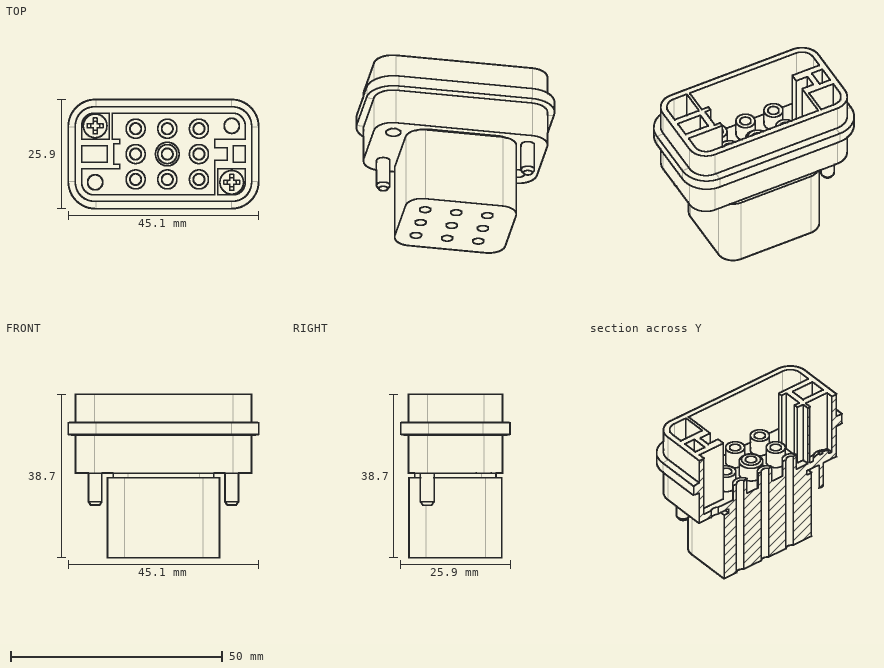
import cadquery as cq
import math

BODY_TOP = 19.0
SHELL_BOTTOM = 20.05
FLOOR_TOP = 22.2
FLANGE_MID = 30.6
TOTAL_HEIGHT = 38.7

BODY = (26.55, 22.0, 3.95)
NECK = (23.85, 19.25, 3.5)
SHELL = (41.65, 22.32, 4.45)
FLANGE = (45.1, 25.9, 6.5)
FLANGE_EDGE_HEIGHT = 2.75
FLANGE_RISE = 0.16

WALL = 1.5
OVERLAP = WALL / 2
CAVITY = (SHELL[0] - 2 * WALL, SHELL[1] - 2 * WALL, SHELL[2] - WALL)
CAVITY_END = CAVITY[0] / 2
CAVITY_SIDE = CAVITY[1] / 2
BLOCK_HALF_WIDTH = 3.5
POCKET_HALF_WIDTH = 2.0
PARTITION_END = 12.1
RIB_THICKNESS = 0.75
LEFT_BLOCK_END = 11.75
LEFT_POCKET_END = 13.3
HOOK_END = 10.35
HOOK_THICKNESS = 1.1
RIGHT_POCKET_END = 16.5
NOTCH_END = 15.1
NOTCH_HALF_WIDTH = 1.5

COLUMN_PITCH = 7.5
ROW_PITCH = 6.0
GRID_CENTER_X = 0.9
SLEEVE_TOP = 26.47
SLEEVE_DIAMETER = 4.5
CONTACT_HOLE_DIAMETER = 2.6
EARTH_SLEEVE_DIAMETER = 5.6

FIXING_X = 16.15
FIXING_Y = 6.67
FIXING_HOLE_DIAMETER = 3.5
SHANK_DIAMETER = 3.2
SHANK_TIP_Z = 12.45
SHANK_TIP_HEIGHT = 0.85
SHANK_TIP_INSET = 0.55
HEAD_DIAMETER = 5.6
HEAD_RIM_HEIGHT = 0.9
HEAD_DOME_HEIGHT = 0.75
RECESS_ARM_WIDTH = 0.95
RECESS_TOP_RADIUS = 2.2
RECESS_STEP_RADIUS = 1.1
RECESS_STEP_DEPTH = 1.17
RECESS_DEPTH = 1.55


def rounded_block(outline, bottom, top):
    """Upright block with rounded vertical edges."""
    length, width, radius = outline
    block = cq.Workplane("XY", origin=(0, 0, bottom)).rect(length, width).extrude(top - bottom)
    return block.edges("|Z").fillet(radius)


def upright_box(x_start, x_end, y_start, y_end):
    """Box between the given limits, reaching from the cavity floor to the rim."""
    size = (abs(x_end - x_start), abs(y_end - y_start), TOTAL_HEIGHT - FLOOR_TOP)
    middle = ((x_start + x_end) / 2, (y_start + y_end) / 2, (FLOOR_TOP + TOTAL_HEIGHT) / 2)
    return cq.Workplane("XY").box(*size).translate(middle)


def cylinder(x, y, diameter, bottom, top):
    """Upright cylinder."""
    return cq.Workplane("XY", origin=(x, y, bottom)).circle(diameter / 2).extrude(top - bottom)


def make_flange():
    """Collar with crowned top and bottom faces, swept around the shell."""
    side_shell = SHELL[1] / 2
    side_inner = side_shell - OVERLAP
    side_crown = (SHELL[1] + FLANGE[1]) / 4
    side_outer = FLANGE[1] / 2
    edge_z = FLANGE_EDGE_HEIGHT / 2
    crown_z = edge_z + FLANGE_RISE
    path = rounded_block(FLANGE, FLANGE_MID, FLANGE_MID + crown_z).faces("<Z").wires()
    profile = (
        cq.Workplane("YZ", origin=(0, 0, FLANGE_MID))
        .moveTo(side_inner, -crown_z)
        .lineTo(side_shell, -crown_z)
        .threePointArc((side_crown, -crown_z), (side_outer, -edge_z))
        .lineTo(side_outer, edge_z)
        .threePointArc((side_crown, crown_z), (side_shell, crown_z))
        .lineTo(side_inner, crown_z)
        .close()
    )
    return profile.sweep(path)


def make_left_partitions():
    """Pocketed block with two hooks, and the rib that closes off the screw corner."""
    block = upright_box(-CAVITY_END - OVERLAP, -LEFT_BLOCK_END, -BLOCK_HALF_WIDTH, BLOCK_HALF_WIDTH)
    for side in (-1, 1):
        hook_inner = side * (BLOCK_HALF_WIDTH - HOOK_THICKNESS)
        hook_outer = side * BLOCK_HALF_WIDTH
        block = block.union(upright_box(-LEFT_BLOCK_END - OVERLAP, -HOOK_END, hook_inner, hook_outer))
    rib_end = -PARTITION_END - RIB_THICKNESS
    rib = upright_box(rib_end, -PARTITION_END, POCKET_HALF_WIDTH, CAVITY_SIDE + OVERLAP)
    pocket = upright_box(-CAVITY_END, -LEFT_POCKET_END, -POCKET_HALF_WIDTH, POCKET_HALF_WIDTH)
    return block.union(rib).cut(pocket)


def make_right_partitions():
    """Pocketed block with a keying notch, and the rib that closes off the screw corner."""
    block = upright_box(PARTITION_END, CAVITY_END + OVERLAP, -BLOCK_HALF_WIDTH, BLOCK_HALF_WIDTH)
    rib_end = PARTITION_END + RIB_THICKNESS
    rib = upright_box(PARTITION_END, rib_end, -CAVITY_SIDE - OVERLAP, -POCKET_HALF_WIDTH)
    pocket = upright_box(RIGHT_POCKET_END, CAVITY_END, -POCKET_HALF_WIDTH, POCKET_HALF_WIDTH)
    notch = upright_box(PARTITION_END, NOTCH_END, -NOTCH_HALF_WIDTH, NOTCH_HALF_WIDTH)
    return block.union(rib).cut(pocket).cut(notch)


def make_housing():
    """Plug body, neck, flanged shell with its cavity, and the partitions."""
    housing = rounded_block(BODY, 0, BODY_TOP)
    housing = housing.union(rounded_block(NECK, BODY_TOP, SHELL_BOTTOM))
    housing = housing.union(rounded_block(SHELL, SHELL_BOTTOM, TOTAL_HEIGHT))
    housing = housing.union(make_flange())
    housing = housing.cut(rounded_block(CAVITY, FLOOR_TOP, TOTAL_HEIGHT))
    return housing.union(make_left_partitions()).union(make_right_partitions())


def add_contacts(housing):
    """Nine sleeves on the cavity floor, each bored right through the plug body."""
    for column in (-1, 0, 1):
        for row in (-1, 0, 1):
            x = GRID_CENTER_X + column * COLUMN_PITCH
            y = row * ROW_PITCH
            if column == 0 and row == 0:
                sleeve = cylinder(x, y, EARTH_SLEEVE_DIAMETER, FLOOR_TOP, SLEEVE_TOP)
                sleeve = sleeve.faces(">Z").chamfer((EARTH_SLEEVE_DIAMETER - SLEEVE_DIAMETER) / 2)
            else:
                sleeve = cylinder(x, y, SLEEVE_DIAMETER, FLOOR_TOP, SLEEVE_TOP)
            housing = housing.union(sleeve)
            housing = housing.cut(cylinder(x, y, CONTACT_HOLE_DIAMETER, 0, SLEEVE_TOP))
    return housing


def make_screw():
    """Domed cross-recess screw on the Z axis, its head resting on the cavity floor."""
    shank_radius = SHANK_DIAMETER / 2
    head_radius = HEAD_DIAMETER / 2
    rim_z = FLOOR_TOP + HEAD_RIM_HEIGHT
    head_top = rim_z + HEAD_DOME_HEIGHT
    dome_radius = (head_radius**2 + HEAD_DOME_HEIGHT**2) / (2 * HEAD_DOME_HEIGHT)
    half_way = head_radius / 2
    half_way_z = head_top - dome_radius + math.sqrt(dome_radius**2 - half_way**2)
    screw = (
        cq.Workplane("XZ")
        .moveTo(0, SHANK_TIP_Z)
        .lineTo(shank_radius - SHANK_TIP_INSET, SHANK_TIP_Z)
        .lineTo(shank_radius, SHANK_TIP_Z + SHANK_TIP_HEIGHT)
        .lineTo(shank_radius, FLOOR_TOP)
        .lineTo(head_radius, FLOOR_TOP)
        .lineTo(head_radius, rim_z)
        .threePointArc((half_way, half_way_z), (0, head_top))
        .close()
        .revolve(360, (0, 0, 0), (0, 1, 0))
    )
    recess_envelope = (
        cq.Workplane("XZ")
        .moveTo(0, head_top)
        .lineTo(RECESS_TOP_RADIUS, head_top)
        .lineTo(RECESS_STEP_RADIUS, head_top - RECESS_STEP_DEPTH)
        .lineTo(0, head_top - RECESS_DEPTH)
        .close()
        .revolve(360, (0, 0, 0), (0, 1, 0))
    )
    half_arm = RECESS_ARM_WIDTH / 2
    cross = upright_box(-head_radius, head_radius, -half_arm, half_arm)
    cross = cross.union(upright_box(-half_arm, half_arm, -head_radius, head_radius))
    return screw.cut(recess_envelope.intersect(cross))


def add_fixings(housing):
    """Screws at front right and back left, clearance holes in the other two corners."""
    for side in (-1, 1):
        x = side * FIXING_X
        y = side * FIXING_Y
        housing = housing.union(make_screw().translate((x, -y, 0)))
        housing = housing.cut(cylinder(x, y, FIXING_HOLE_DIAMETER, SHELL_BOTTOM, FLOOR_TOP))
    return housing


result = add_fixings(add_contacts(make_housing()))